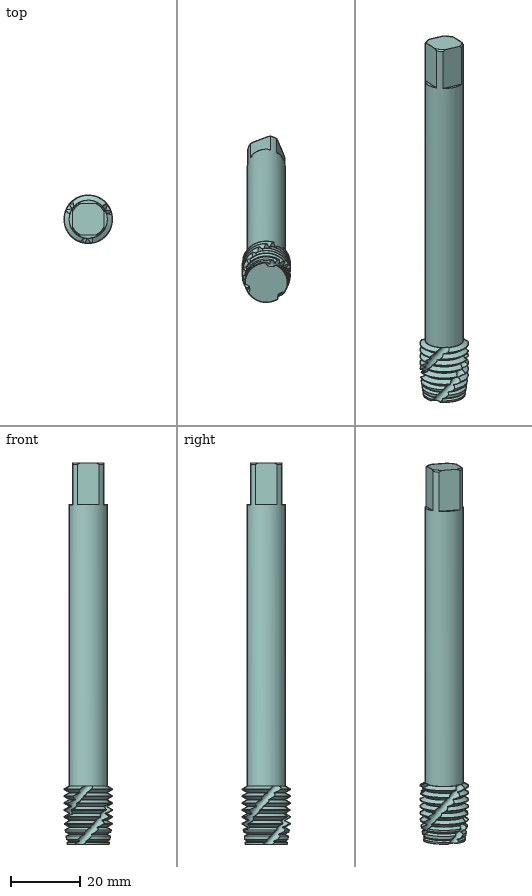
import cadquery as cq
import math

TOTAL_LENGTH = 110.0
HEAD_LENGTH = 16.9
SHANK_RADIUS = 5.5

SQUARE_WIDTH = 9.0
SQUARE_LENGTH = 12.0
SQUARE_CHAMFER = 0.4

THREAD_ANGLE = 60
ROOT_WIDTH = 0.1
GROOVE_OVERCUT = 1.1
MAJOR_RADIUS = 6.98
THREAD_PITCHES = 8.5
PITCH = HEAD_LENGTH / THREAD_PITCHES
ROOT_RADIUS = SHANK_RADIUS
THREAD_DEPTH = MAJOR_RADIUS - ROOT_RADIUS
HALF_GROOVE_MOUTH = ROOT_WIDTH / 2 + THREAD_DEPTH * math.tan(math.radians(THREAD_ANGLE / 2))

TIP_RADIUS = 6.0
TAPER_LENGTH = 6.4

FLUTE_COUNT = 3
FLUTE_RADIUS = 1.6
FLUTE_FLOOR_RADIUS = 5.1
FLUTE_LEAD = 41.2
FLUTE_TOP_ANGLE = -88
FLUTE_OVERRUN = 2.2


def make_shank():
    """Round shank with a chamfered square drive at its upper end."""
    shank = (
        cq.Workplane("XY", origin=(0, 0, HEAD_LENGTH))
        .circle(SHANK_RADIUS)
        .extrude(TOTAL_LENGTH - HEAD_LENGTH)
        .faces(">Z")
        .chamfer(SQUARE_CHAMFER)
    )
    trim_width = 3 * SHANK_RADIUS
    square_trim = (
        cq.Workplane("XY", origin=(0, 0, TOTAL_LENGTH - SQUARE_LENGTH))
        .rect(trim_width, trim_width)
        .rect(SQUARE_WIDTH, SQUARE_WIDTH)
        .extrude(SQUARE_LENGTH)
    )
    return shank.cut(square_trim)


def make_tapered_blank():
    """Head before threading, tapered at its lower end."""
    return (
        cq.Workplane("XZ")
        .moveTo(0, 0)
        .lineTo(TIP_RADIUS, 0)
        .lineTo(MAJOR_RADIUS, TAPER_LENGTH)
        .lineTo(MAJOR_RADIUS, HEAD_LENGTH)
        .lineTo(0, HEAD_LENGTH)
        .close()
        .revolve(360, (0, 0, 0), (0, 1, 0))
    )


def make_thread_groove(root_height):
    """V-shaped ring between two teeth, with its root at the given height."""
    outer_radius = MAJOR_RADIUS + GROOVE_OVERCUT
    lower_edge = root_height - HALF_GROOVE_MOUTH
    upper_edge = root_height + HALF_GROOVE_MOUTH
    return (
        cq.Workplane("XZ")
        .moveTo(ROOT_RADIUS, root_height - ROOT_WIDTH / 2)
        .lineTo(MAJOR_RADIUS, lower_edge)
        .lineTo(outer_radius, lower_edge)
        .lineTo(outer_radius, upper_edge)
        .lineTo(MAJOR_RADIUS, upper_edge)
        .lineTo(ROOT_RADIUS, root_height + ROOT_WIDTH / 2)
        .close()
        .revolve(360, (0, 0, 0), (0, 1, 0))
    )


def make_flute(top_angle):
    """Twisted rod that cuts one flute, placed at the given angle at the top of the head."""
    height = HEAD_LENGTH + 2 * FLUTE_OVERRUN
    turn = 360 * height / FLUTE_LEAD
    start_angle = top_angle - 360 * (HEAD_LENGTH + FLUTE_OVERRUN) / FLUTE_LEAD
    return (
        cq.Workplane("XY", origin=(0, 0, -FLUTE_OVERRUN))
        .moveTo(FLUTE_FLOOR_RADIUS + FLUTE_RADIUS, 0)
        .circle(FLUTE_RADIUS)
        .twistExtrude(height, turn)
        .rotate((0, 0, 0), (0, 0, 1), start_angle)
    )


def make_head():
    """Cutting head: tapered blank with thread grooves and flutes."""
    head = make_tapered_blank()
    for index in range(math.ceil(THREAD_PITCHES)):
        head = head.cut(make_thread_groove(HEAD_LENGTH - index * PITCH))
    for index in range(FLUTE_COUNT):
        head = head.cut(make_flute(FLUTE_TOP_ANGLE + index * 360 / FLUTE_COUNT))
    return head


shank = make_shank()
head = make_head()
result = cq.Compound.makeCompound([shank.solids().val(), head.solids().val()])